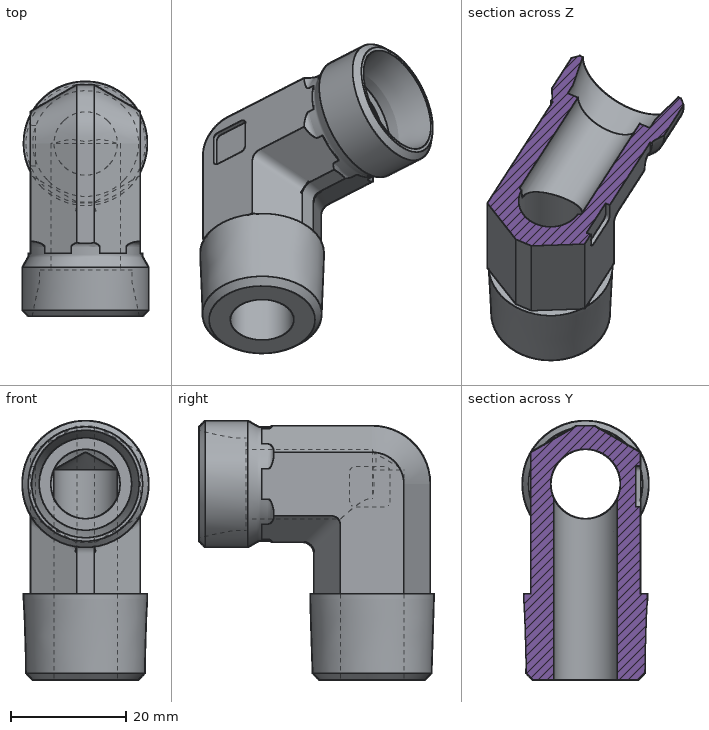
import cadquery as cq
import math


hex_half_width = 9.55
hex_side_slope = 30
body_half_height = 10.12
inner_corner_radius = 1.9

overall_height = 45
plug_radius = 10.75
plug_end_radius = 10.35
plug_tip_radius = 9.2
plug_top_z = -19.0
plug_band_height = 0.95
plug_chamfer_height = 1.2

head_diameter = 22.0
head_radius = head_diameter / 2
overall_depth = 40.75
head_chamfer = 1.1
head_back_angle = 30

neck_radius = 9.9
neck_blend_radius = 1.0
neck_start = 18.0
hex_end = 19.1
neck_end = 19.35

vertical_bore_radius = 11.0 / 2
vertical_bore_end_z = 2.48
horizontal_bore_radius = 12.0 / 2
drill_point_half_angle = 60
socket_radius = 16.0 / 2
socket_mouth_radius = 9.3
socket_cone_half_angle = 12
socket_cylinder_length = 2.0

recess_size = 7.0
recess_corner_radius = 1.0
recess_depth = 0.8
recess_center_y = -0.4
recess_center_z = -0.4

plug_bottom_z = head_radius - overall_height
head_face = overall_depth - plug_radius


def upper_section():
    """Points (x, height) of the upper half of the leg section, from the +X side to the -X side."""
    slope = math.radians(hex_side_slope)
    side_corner = hex_half_width * math.tan(slope)
    flat_corner = (hex_half_width - body_half_height * math.cos(slope)) / math.sin(slope)
    return [
        (hex_half_width, side_corner),
        (flat_corner, body_half_height),
        (-flat_corner, body_half_height),
        (-hex_half_width, side_corner),
    ]


def turned_vertical(points):
    """Solid turned about Z from (radius, z) points."""
    return cq.Workplane("YZ").polyline(points).close().revolve(360, (0, 0), (0, 1))


def turned_horizontal(points):
    """Solid turned about Y from (radius, distance along -Y) points."""
    outline = [(radius, -distance) for radius, distance in points]
    return cq.Workplane("XY").polyline(outline).close().revolve(360, (0, 0), (0, 1))


def is_mitre_edge(edge):
    """True for an edge of the inner corner, where the legs meet in the plane y = z."""
    tolerance = 4.5e-05
    in_mitre_plane = all(abs(v.Y - v.Z) < tolerance for v in edge.Vertices())
    return in_mitre_plane and edge.Center().y < 0


def make_body():
    upper = upper_section()
    full = upper + [(-x, -height) for x, height in upper]
    upper_closed = upper + [(-hex_half_width, 0), (hex_half_width, 0)]
    forward_leg = cq.Workplane("XZ").polyline(full).close().extrude(hex_end)
    down_leg = cq.Workplane("XY").polyline(full).close().extrude(plug_top_z)
    bend = (
        cq.Workplane("XZ")
        .polyline(upper_closed).close()
        .revolve(90, (0, 0), (-1, 0))
    )
    body = forward_leg.union(down_leg).union(bend).clean()
    return body.edges().filter(is_mitre_edge).fillet(inner_corner_radius)


def make_corner_relief():
    """Ring that rounds the hexagon corners down to the neck, running out in a quarter arc."""
    outside = 2 * hex_half_width
    run_out_start = neck_start - neck_blend_radius
    run_out_radius = neck_radius + neck_blend_radius
    arc_middle = neck_blend_radius * math.sqrt(0.5)
    return (
        cq.Workplane("XY")
        .moveTo(neck_radius, -hex_end)
        .lineTo(neck_radius, -neck_start)
        .threePointArc(
            (run_out_radius - arc_middle, -neck_start + arc_middle),
            (run_out_radius, -run_out_start),
        )
        .lineTo(outside, -run_out_start)
        .lineTo(outside, -hex_end)
        .close()
        .revolve(360, (0, 0), (0, 1))
    )


def make_plug():
    return turned_vertical([
        (0, plug_top_z),
        (plug_radius, plug_top_z),
        (plug_radius, plug_top_z - plug_band_height),
        (plug_end_radius, plug_bottom_z + plug_chamfer_height),
        (plug_tip_radius, plug_bottom_z),
        (0, plug_bottom_z),
    ])


def blend_point(angle):
    """Point (radius, -distance) on the arc from the neck into the back of the head."""
    turn = math.radians(angle)
    radius = neck_radius + neck_blend_radius * (1 - math.cos(turn))
    distance = neck_end + neck_blend_radius * math.sin(turn)
    return radius, -distance


def make_head():
    blend_radius, blend_y = blend_point(head_back_angle)
    back_length = (head_radius - blend_radius) / math.tan(math.radians(head_back_angle))
    return (
        cq.Workplane("XY")
        .moveTo(0, -hex_end)
        .lineTo(neck_radius, -hex_end)
        .lineTo(neck_radius, -neck_end)
        .threePointArc(blend_point(head_back_angle / 2), (blend_radius, blend_y))
        .lineTo(head_radius, blend_y - back_length)
        .lineTo(head_radius, head_chamfer - head_face)
        .lineTo(head_radius - head_chamfer, -head_face)
        .lineTo(0, -head_face)
        .close()
        .revolve(360, (0, 0), (0, 1))
    )


def drill_point_length(radius):
    return radius / math.tan(math.radians(drill_point_half_angle))


def make_vertical_bore():
    return turned_vertical([
        (0, plug_bottom_z),
        (vertical_bore_radius, plug_bottom_z),
        (vertical_bore_radius, vertical_bore_end_z),
        (0, vertical_bore_end_z + drill_point_length(vertical_bore_radius)),
    ])


def make_horizontal_bore():
    cone_half_angle = math.radians(socket_cone_half_angle)
    cone_length = (socket_mouth_radius - socket_radius) / math.tan(cone_half_angle)
    cone_start = head_face - cone_length
    seat = cone_start - socket_cylinder_length
    return turned_horizontal([
        (0, -drill_point_length(horizontal_bore_radius)),
        (horizontal_bore_radius, 0),
        (horizontal_bore_radius, seat),
        (socket_radius, seat),
        (socket_radius, cone_start),
        (socket_mouth_radius, head_face),
        (0, head_face),
    ])


def make_recess():
    return (
        cq.Workplane("YZ", origin=(-hex_half_width, recess_center_y, recess_center_z))
        .rect(recess_size, recess_size)
        .extrude(recess_depth)
        .edges("|X")
        .fillet(recess_corner_radius)
    )


result = (
    make_body()
    .cut(make_corner_relief())
    .union(make_plug())
    .union(make_head())
    .cut(make_vertical_bore())
    .cut(make_horizontal_bore())
    .cut(make_recess())
)